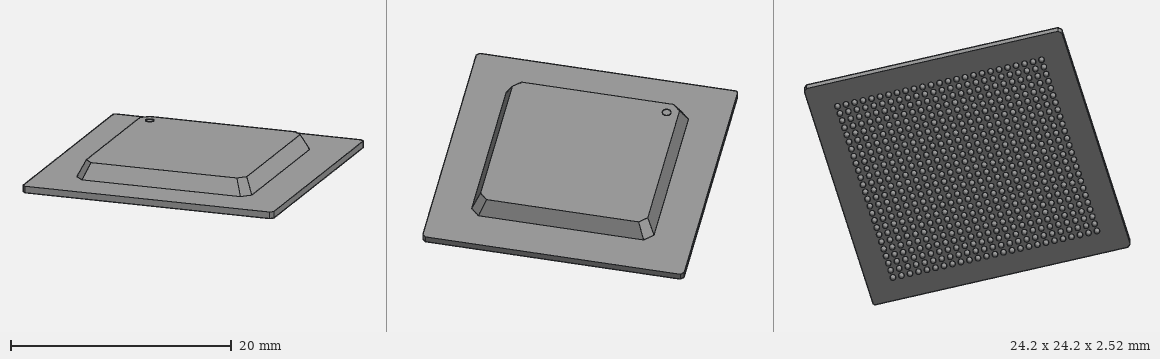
import cadquery as cq
import math

board_size = 24.2
board_thickness = 0.63
board_corner = 0.3
index_corner = 0.15

cap_base = 16.9
cap_top = 15.5
cap_height = 1.5
cap_base_corner = 0.8
cap_top_corner = 0.7

mark_diameter = 0.8
mark_depth = 0.05
mark_offset = 6.63

ball_radius = 0.27
ball_height = 0.39
ball_pitch = 0.8
balls_per_side = 25

cap_top_z = board_thickness + cap_height


def clipped_square(size, corner):
    """Sketch of a centred square with its four corners clipped."""
    return cq.Sketch().rect(size, size).vertices().chamfer(corner)


def make_board():
    plate = cq.Workplane("XY").rect(board_size, board_size).extrude(board_thickness)
    plate = plate.edges("|Z and (>X or <Y)").chamfer(board_corner)
    return plate.edges("|Z").edges("<(1, -1, 0)").chamfer(index_corner)


def make_cap():
    base = clipped_square(cap_base, cap_base_corner)
    top = clipped_square(cap_top, cap_top_corner).moved(cq.Location(cq.Vector(0, 0, cap_height)))
    return cq.Workplane("XY", origin=(0, 0, board_thickness)).placeSketch(base, top).loft(ruled=True)


def make_pin_mark():
    return (
        cq.Workplane("XY", origin=(-mark_offset, mark_offset, cap_top_z - mark_depth))
        .circle(mark_diameter / 2)
        .extrude(mark_depth)
    )


def make_balls():
    centre_depth = ball_height - ball_radius
    flat_latitude = math.degrees(math.asin(centre_depth / ball_radius))
    ball = cq.Solid.makeSphere(ball_radius, angleDegrees1=-90, angleDegrees2=flat_latitude)
    return (
        cq.Workplane("XY", origin=(0, 0, -centre_depth))
        .rarray(ball_pitch, ball_pitch, balls_per_side, balls_per_side)
        .eachpoint(ball, combine=False)
    )


package = make_board().union(make_cap()).cut(make_pin_mark())
result = package.union(make_balls())